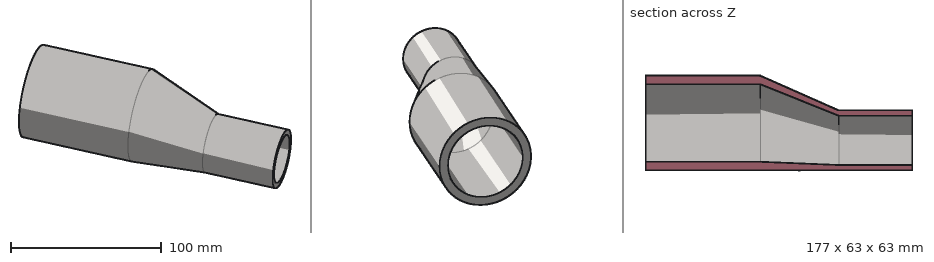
import cadquery as cq

total_length = 177.0
large_length = 76.0
small_length = 49.0
taper_length = total_length - large_length - small_length

large_outer_diameter = 63.0
large_bore_diameter = 51.3
small_outer_diameter = 40.0
small_bore_diameter = 32.5

small_axis_y = -(large_outer_diameter - small_outer_diameter) / 2


def reducer_body(large_diameter, small_diameter):
    """Solid large cylinder, lofted taper and offset small cylinder."""
    taper_start = cq.Workplane("YZ", origin=(large_length, 0, 0))
    large_end = cq.Workplane("YZ").circle(large_diameter / 2).extrude(large_length)
    taper = (
        taper_start.circle(large_diameter / 2)
        .workplane(offset=taper_length)
        .center(small_axis_y, 0)
        .circle(small_diameter / 2)
        .loft(ruled=True)
    )
    small_end = (
        cq.Workplane("YZ", origin=(large_length + taper_length, small_axis_y, 0))
        .circle(small_diameter / 2)
        .extrude(small_length)
    )
    return large_end.union(taper).union(small_end)


outside = reducer_body(large_outer_diameter, small_outer_diameter)
bore = reducer_body(large_bore_diameter, small_bore_diameter)
result = outside.cut(bore)